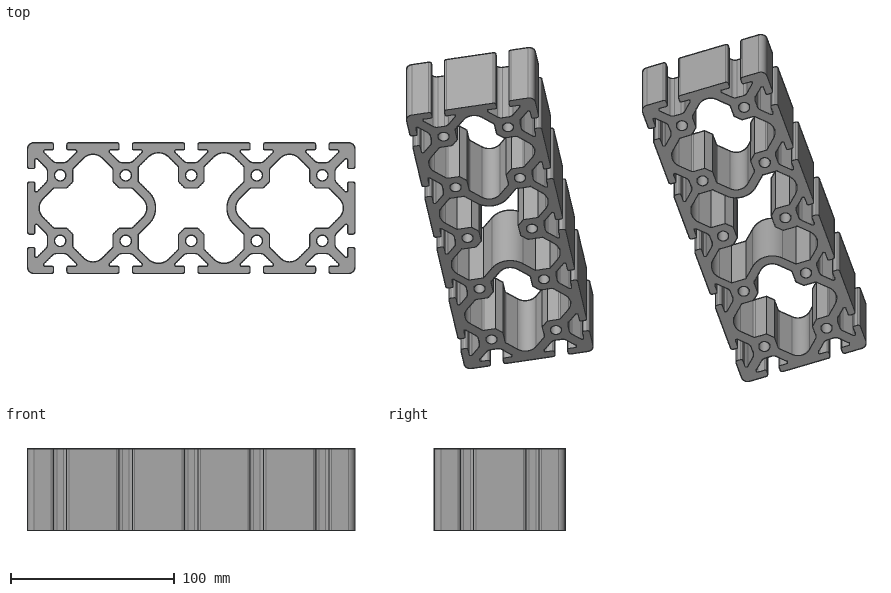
import cadquery as cq
import math

PITCH = 40.0
COLUMNS = 5
ROWS = 2
WIDTH = COLUMNS * PITCH
DEPTH = ROWS * PITCH
LENGTH = 50.0
CORNER_RADIUS = 4.0

SLOT_OPENING = 8.0
SLOT_INNER_WIDTH = 20.0
SLOT_DEPTH = 12.2
LIP_THICKNESS = 4.5
LIP_OUTER_RADIUS = 1.5
LIP_INNER_RADIUS = 1.0
UNDERCUT_RADIUS = 0.8
SLOT_FLOOR_HALF = 3.7
FLOOR_RADIUS = 3.9

CHANNEL_DIAMETER = 6.8
CORE_HALF = PITCH / 2 - SLOT_DEPTH
CORE_FLAT_HALF = 3.9

END_LOBE_RADIUS = 8.0
END_SPOKE_RADIUS = 1.7
MIDDLE_WEDGE_HALF = 5.2
MIDDLE_LOBE_RADIUS = 9.0

SPOKE_THICKNESS = (CORE_HALF - CORE_FLAT_HALF) * math.sqrt(2)
WAIST_RADIUS = END_LOBE_RADIUS + SPOKE_THICKNESS
HALF_GAP = PITCH / 2 - CORE_HALF
BEVEL_START = PITCH / 2 - CORE_FLAT_HALF
END_CHAMBER_X = (COLUMNS - ROWS) * PITCH / 2

COLUMN_X = [(i - (COLUMNS - 1) / 2) * PITCH for i in range(COLUMNS)]
ROW_Y = [(j - (ROWS - 1) / 2) * PITCH for j in range(ROWS)]
OVERCUT = 1.0
EDGE_TOLERANCE = 0.01


def rotate_point(point, angle):
    c = math.cos(math.radians(angle))
    s = math.sin(math.radians(angle))
    x, y = point
    return (x * c - y * s, x * s + y * c)


def round_vertical_edges(solid, plan_points, radius):
    """Fillet the vertical edges standing at the given plan positions."""
    edges = []
    for edge in solid.edges("|Z").vals():
        centre = edge.Center()
        if any(math.hypot(centre.x - x, centre.y - y) < EDGE_TOLERANCE for x, y in plan_points):
            edges.append(edge)
    return solid.newObject(edges).fillet(radius)


def mirrored_pair(x, y):
    return [(x, y), (-x, y)]


def slot_cutter():
    """T-slot open towards +Y, with the middle of its mouth on the origin."""
    mouth = SLOT_OPENING / 2
    inner = SLOT_INNER_WIDTH / 2
    shoulder = SLOT_DEPTH - (inner - SLOT_FLOOR_HALF)
    right = [
        (mouth, OVERCUT),
        (mouth, -LIP_THICKNESS),
        (inner, -LIP_THICKNESS),
        (inner, -shoulder),
        (SLOT_FLOOR_HALF, -SLOT_DEPTH),
    ]
    left = [(-x, y) for x, y in reversed(right)]
    cutter = cq.Workplane("XY").polyline(right + left).close().extrude(LENGTH)
    undercut = mirrored_pair(inner, -LIP_THICKNESS) + mirrored_pair(inner, -shoulder)
    cutter = round_vertical_edges(cutter, undercut, UNDERCUT_RADIUS)
    return round_vertical_edges(cutter, mirrored_pair(SLOT_FLOOR_HALF, -SLOT_DEPTH), FLOOR_RADIUS)


def slot_placements():
    """(x, y, turn about Z) of every slot mouth."""
    places = []
    for x in COLUMN_X:
        places.append((x, DEPTH / 2, 0))
        places.append((x, -DEPTH / 2, 180))
    for y in ROW_Y:
        places.append((-WIDTH / 2, y, 90))
        places.append((WIDTH / 2, y, -90))
    return places


def lip_edges(depth_below_face):
    """Plan positions of all the lip corners at one depth below the outer faces."""
    points = []
    for x, y, angle in slot_placements():
        for corner in mirrored_pair(SLOT_OPENING / 2, -depth_below_face):
            dx, dy = rotate_point(corner, angle)
            points.append((x + dx, y + dy))
    return points


def slotted_block():
    block = cq.Workplane("XY").box(WIDTH, DEPTH, LENGTH, centered=(True, True, False))
    block = block.edges("|Z").fillet(CORNER_RADIUS)
    cutter = slot_cutter()
    for x, y, angle in slot_placements():
        block = block.cut(cutter.rotate((0, 0, 0), (0, 0, 1), angle).translate((x, y, 0)))
    block = round_vertical_edges(block, lip_edges(0), LIP_OUTER_RADIUS)
    return round_vertical_edges(block, lip_edges(LIP_THICKNESS), LIP_INNER_RADIUS)


def lobe(wedge_half, tip_radius, base_y):
    """Round-tipped wedge pointing to +Y, starting base_y away from the chamber centre."""
    shoulder = PITCH / 2 + wedge_half
    tip_centre = shoulder + HALF_GAP - tip_radius * math.sqrt(2)
    tangent = tip_radius / math.sqrt(2)
    return (
        cq.Workplane("XY")
        .moveTo(-HALF_GAP, base_y)
        .lineTo(HALF_GAP, base_y)
        .lineTo(HALF_GAP, shoulder)
        .lineTo(tangent, tip_centre + tangent)
        .threePointArc((0, tip_centre + tip_radius), (-tangent, tip_centre + tangent))
        .lineTo(-HALF_GAP, shoulder)
        .close()
        .extrude(LENGTH)
    )


def end_chamber():
    """Four-lobed chamber centred on the origin."""
    bevels = []
    spoke_roots = []
    for angle in (0, 90, 180, 270):
        bevels += [rotate_point((x, BEVEL_START), angle) for x in (HALF_GAP, -HALF_GAP)]
        spoke_roots += [
            rotate_point(corner, angle) for corner in mirrored_pair(HALF_GAP, PITCH / 2 + CORE_FLAT_HALF)
        ]
    chamber = cq.Workplane("XY").polyline(bevels).close().extrude(LENGTH)
    arm = lobe(CORE_FLAT_HALF, END_LOBE_RADIUS, 0)
    for angle in (0, 90, 180, 270):
        chamber = chamber.union(arm.rotate((0, 0, 0), (0, 0, 1), angle))
    return round_vertical_edges(chamber, spoke_roots, END_SPOKE_RADIUS)


def middle_chamber():
    """Two-cell chamber centred on the origin, narrowed by the end chamber walls."""
    core_x = PITCH / 2 + HALF_GAP
    waist_centre = core_x - BEVEL_START + WAIST_RADIUS * math.sqrt(2)
    tangent = WAIST_RADIUS / math.sqrt(2)
    chamber = (
        cq.Workplane("XY")
        .moveTo(core_x, BEVEL_START)
        .lineTo(waist_centre - tangent, tangent)
        .threePointArc((waist_centre - WAIST_RADIUS, 0), (waist_centre - tangent, -tangent))
        .lineTo(core_x, -BEVEL_START)
        .lineTo(CORE_HALF, -BEVEL_START)
        .lineTo(CORE_FLAT_HALF, -HALF_GAP)
        .lineTo(-CORE_FLAT_HALF, -HALF_GAP)
        .lineTo(-CORE_HALF, -BEVEL_START)
        .lineTo(-core_x, -BEVEL_START)
        .lineTo(tangent - waist_centre, -tangent)
        .threePointArc((WAIST_RADIUS - waist_centre, 0), (tangent - waist_centre, tangent))
        .lineTo(-core_x, BEVEL_START)
        .lineTo(-CORE_HALF, BEVEL_START)
        .lineTo(-CORE_FLAT_HALF, HALF_GAP)
        .lineTo(CORE_FLAT_HALF, HALF_GAP)
        .lineTo(CORE_HALF, BEVEL_START)
        .close()
        .extrude(LENGTH)
    )
    arm = lobe(MIDDLE_WEDGE_HALF, MIDDLE_LOBE_RADIUS, BEVEL_START)
    for x in (-PITCH / 2, PITCH / 2):
        for angle in (0, 180):
            chamber = chamber.union(arm.rotate((0, 0, 0), (0, 0, 1), angle).translate((x, 0, 0)))
    return chamber


def screw_channels():
    centres = [(x, y) for x in COLUMN_X for y in ROW_Y]
    return cq.Workplane("XY").pushPoints(centres).circle(CHANNEL_DIAMETER / 2).extrude(LENGTH)


profile = slotted_block()
for chamber_x in (-END_CHAMBER_X, END_CHAMBER_X):
    profile = profile.cut(end_chamber().translate((chamber_x, 0, 0)))
profile = profile.cut(middle_chamber())
result = profile.cut(screw_channels())